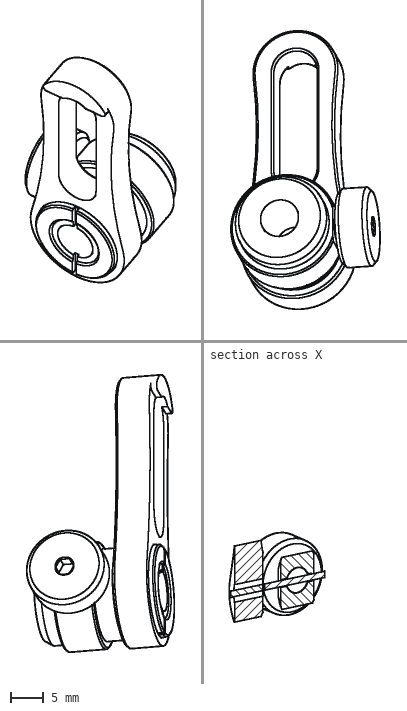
import cadquery as cq
import math


ARM_FRONT = 0.9
ARM_BACK = 6.3
ARM_BACK_CHAMFER = 0.35
EYE_RADIUS = 8.5
TOP_Z = 35.05
HEAD_RADIUS = 6.6
HEAD_Z = TOP_Z - HEAD_RADIUS
WAIST_RADIUS = 71.0
ARM_HOLE_DIAMETER = 14.45
SLOT_WIDTH = 6.75
SLOT_BOTTOM_Z = 9.1
SLOT_TOP_Z = 31.75
PAD_BOTTOM_Z = 31.05
PAD_CORNER_RADIUS = 0.7

RING_DIAMETER = 14.25
RING_CHAMFER = 0.25
RING_BORE_DIAMETER = 6.35
RECESS_DIAMETER = 9.0
RECESS_DEPTH = 0.3
DRIVE_SLOT_WIDTH = 0.7
DRIVE_SLOT_DEPTH = 0.8

BARREL_DIAMETER = RING_DIAMETER
BARREL_BACK = 19.1
BARREL_BORE_DIAMETER = 5.92
BARREL_FRONT_CHAMFER = 0.3
BARREL_BEVEL_LENGTH = 1.2
BARREL_BEVEL_DEPTH = 0.75

COLLAR_DIAMETER = 16.55
COLLAR_FRONT = 9.6
COLLAR_WIDTH = 6.25
COLLAR_CHAMFER = 0.25
COLLAR_FLAT_X = -7.7
COLLAR_MIDDLE = COLLAR_FRONT + COLLAR_WIDTH / 2

KNOB_OUTER_X = -13.45
KNOB_DIAMETER = 12.2
KNOB_WIDTH = 5.0
KNOB_CHAMFER = 0.65
STUD_DIAMETER = 4.0
HEX_ACROSS_FLATS = 2.5
HEX_DEPTH = 2.5
HEX_MOUTH_DIAMETER = 2.95


def cylinder_y(diameter, start, end):
    """Cylinder on the bore axis between two Y positions."""
    return cq.Workplane("XZ", origin=(0, start, 0)).circle(diameter / 2).extrude(start - end)


def cylinder_x(diameter, start, end):
    """Cylinder on the thumbscrew axis between two X positions."""
    return cq.Workplane("YZ", origin=(start, COLLAR_MIDDLE, 0)).circle(diameter / 2).extrude(end - start)


def countersink(diameter, depth, centre, direction):
    """45 degree cone that narrows from a face into the material."""
    cone = cq.Solid.makeCone(
        diameter / 2, diameter / 2 - depth, depth, cq.Vector(*centre), cq.Vector(*direction)
    )
    return cq.Workplane(cone)


def arm_outline(start):
    """Round eye and round head joined by two concave waist arcs tangent to both."""
    eye_reach = EYE_RADIUS + WAIST_RADIUS
    head_reach = HEAD_RADIUS + WAIST_RADIUS
    waist_z = (HEAD_Z**2 + eye_reach**2 - head_reach**2) / (2 * HEAD_Z)
    waist_x = math.sqrt(eye_reach**2 - waist_z**2)
    eye_x = EYE_RADIUS * waist_x / eye_reach
    eye_z = EYE_RADIUS * waist_z / eye_reach
    head_x = HEAD_RADIUS * waist_x / head_reach
    head_z = HEAD_Z + HEAD_RADIUS * (waist_z - HEAD_Z) / head_reach
    middle = (waist_x - WAIST_RADIUS, waist_z)
    return (
        cq.Workplane("XZ", origin=(0, start, 0))
        .moveTo(eye_x, eye_z)
        .threePointArc(middle, (head_x, head_z))
        .threePointArc((0, TOP_Z), (-head_x, head_z))
        .threePointArc((-middle[0], middle[1]), (-eye_x, eye_z))
        .threePointArc((0, -EYE_RADIUS), (eye_x, eye_z))
        .close()
    )


def slot_outline(start):
    """Elongated outline along the arm at a Y position."""
    middle_z = (SLOT_BOTTOM_Z + SLOT_TOP_Z) / 2
    return cq.Workplane("XZ", origin=(0, start, middle_z)).slot2D(SLOT_TOP_Z - SLOT_BOTTOM_Z, SLOT_WIDTH, 90)


def make_slot():
    """Elongated hole through the arm, widened by a chamfer at the back face."""
    slot = slot_outline(0).extrude(-ARM_BACK)
    mouth = slot_outline(ARM_BACK - ARM_BACK_CHAMFER).extrude(-ARM_BACK_CHAMFER, taper=-45)
    return slot.union(mouth)


def make_pad():
    """Raised segment across the head, flat below, with rounded lower corners."""
    above_edge = cq.Workplane("XY", origin=(0, 0, PAD_BOTTOM_Z)).box(
        2 * EYE_RADIUS, 2 * ARM_FRONT, HEAD_RADIUS, centered=(True, True, False)
    )
    pad = arm_outline(0).extrude(-ARM_FRONT).intersect(above_edge)
    return pad.edges("|Y").fillet(PAD_CORNER_RADIUS)


def make_arm():
    """Slotted lever with a large eye and a raised pad across its rounded head."""
    plate = arm_outline(ARM_FRONT).extrude(ARM_FRONT - ARM_BACK)
    plate = plate.faces(">Y").chamfer(ARM_BACK_CHAMFER)
    hole = cylinder_y(ARM_HOLE_DIAMETER, 0, ARM_BACK)
    return plate.union(make_pad()).cut(make_slot()).cut(hole)


def make_ring():
    """Sleeve through the arm's eye, with a shallow conical recess and a drive slot in its front."""
    ring = cylinder_y(RING_DIAMETER, 0, ARM_BACK).faces("<Y").chamfer(RING_CHAMFER)
    recess = countersink(RECESS_DIAMETER, RECESS_DEPTH, (0, 0, 0), (0, 1, 0))
    drive_slot = cq.Workplane("XY").box(
        DRIVE_SLOT_WIDTH, DRIVE_SLOT_DEPTH, RING_DIAMETER, centered=(True, False, True)
    )
    bore = cylinder_y(RING_BORE_DIAMETER, 0, ARM_BACK)
    return ring.cut(recess).cut(drive_slot).cut(bore)


def make_barrel():
    """Bored barrel with a small front chamfer and a long bevel at the back."""
    barrel = cylinder_y(BARREL_DIAMETER, ARM_BACK, BARREL_BACK)
    barrel = barrel.faces("<Y").chamfer(BARREL_FRONT_CHAMFER)
    barrel = barrel.faces(">Y").chamfer(BARREL_BEVEL_LENGTH, BARREL_BEVEL_DEPTH)
    return barrel.cut(cylinder_y(BARREL_BORE_DIAMETER, ARM_BACK, BARREL_BACK))


def make_collar():
    """Ring round the barrel with a flat and a cross hole for the thumbscrew."""
    collar_back = COLLAR_FRONT + COLLAR_WIDTH
    collar = cylinder_y(COLLAR_DIAMETER, COLLAR_FRONT, collar_back)
    collar = collar.faces("<Y or >Y").chamfer(COLLAR_CHAMFER)
    flat_centre = (COLLAR_FLAT_X - COLLAR_DIAMETER / 2, COLLAR_MIDDLE, 0)
    flat = cq.Workplane("XY", origin=flat_centre).box(COLLAR_DIAMETER, COLLAR_WIDTH, COLLAR_DIAMETER)
    stud_hole = cylinder_x(STUD_DIAMETER, COLLAR_FLAT_X, 0)
    opening = cylinder_y(BARREL_DIAMETER, COLLAR_FRONT, collar_back)
    return collar.cut(flat).cut(stud_hole).cut(opening)


def make_thumbscrew():
    """Chamfered knob with a hexagon socket and a stud that ends on the barrel."""
    knob_inner_x = KNOB_OUTER_X + KNOB_WIDTH
    knob = cylinder_x(KNOB_DIAMETER, KNOB_OUTER_X, knob_inner_x)
    knob = knob.faces("<X or >X").chamfer(KNOB_CHAMFER)
    stud = cylinder_x(STUD_DIAMETER, knob_inner_x, -BARREL_DIAMETER / 2)
    hex_diameter = HEX_ACROSS_FLATS / math.cos(math.pi / 6)
    face = cq.Workplane("YZ", origin=(KNOB_OUTER_X, COLLAR_MIDDLE, 0))
    socket = face.polygon(6, hex_diameter).extrude(HEX_DEPTH)
    mouth_depth = (HEX_MOUTH_DIAMETER - HEX_ACROSS_FLATS) / 2
    mouth = countersink(HEX_MOUTH_DIAMETER, mouth_depth, (KNOB_OUTER_X, COLLAR_MIDDLE, 0), (1, 0, 0))
    return knob.union(stud).cut(socket).cut(mouth)


arm = make_arm()
ring = make_ring()
barrel = make_barrel()
collar = make_collar()
thumbscrew = make_thumbscrew()

result = cq.Compound.makeCompound([arm.val(), ring.val(), barrel.val(), collar.val(), thumbscrew.val()])